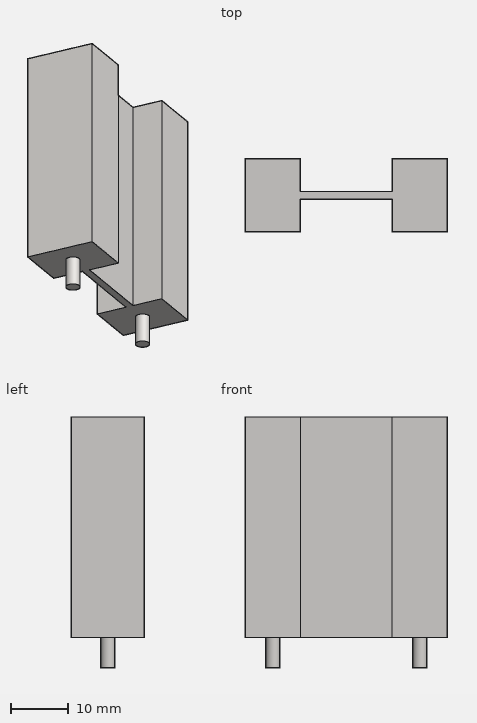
import cadquery as cq

total_width = 35.0
depth = 12.7
total_height = 43.45

block_width = 9.55
web_thickness = 1.4
pin_diameter = 2.48
pin_length = 5.2

body_height = total_height - pin_length
web_width = total_width - 2 * block_width
block_offset = (total_width - block_width) / 2
side_positions = (-block_offset, block_offset)


def make_upright(x, width, thickness):
    """Full-height rectangular bar standing on Z = 0, centred at x."""
    return (
        cq.Workplane("XY")
        .center(x, 0)
        .box(width, thickness, body_height, centered=(True, True, False))
    )


def make_h_body():
    """H-section body: two blocks joined by a thin central web."""
    body = make_upright(0, web_width, web_thickness)
    for x in side_positions:
        body = body.union(make_upright(x, block_width, depth))
    return body


def make_pin(x):
    """Round mounting pin hanging from the underside of the block at x."""
    return cq.Workplane("XY").center(x, 0).circle(pin_diameter / 2).extrude(-pin_length)


h_body = make_h_body()
pins = [make_pin(x).val() for x in side_positions]

result = cq.Compound.makeCompound([h_body.val(), *pins])